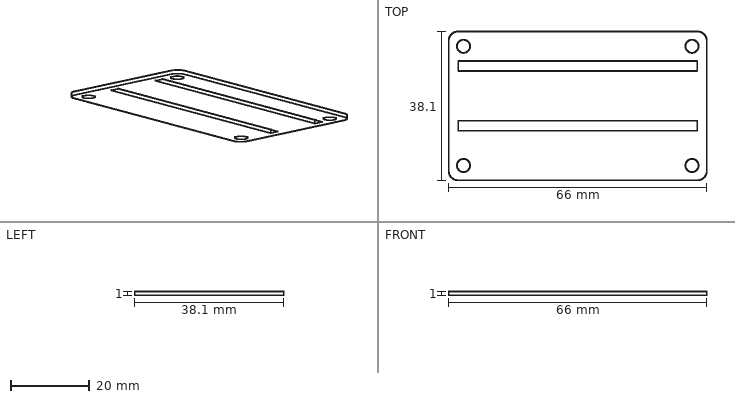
import cadquery as cq

length = 66.05
width = 38.1
thickness = 1.0
corner_radius = 2.5

hole_diameter = 3.3
hole_inset = 3.8

slot_end_margin = 2.5
slot_length = length - 2 * slot_end_margin
slot_width = 2.5
slot_centers_y = (10.2, -5.1)


def make_plate():
    plate = cq.Workplane("XY").box(length, width, thickness)
    return plate.edges("|Z").fillet(corner_radius)


def cut_corner_holes(body):
    spacing_x = length - 2 * hole_inset
    spacing_y = width - 2 * hole_inset
    return (
        body.faces(">Z").workplane(origin=(0, 0, 0))
        .rect(spacing_x, spacing_y, forConstruction=True)
        .vertices()
        .hole(hole_diameter)
    )


def cut_slots(body):
    for center_y in slot_centers_y:
        slot = cq.Workplane("XY").box(slot_length, slot_width, thickness)
        body = body.cut(slot.translate((0, center_y, 0)))
    return body


result = cut_slots(cut_corner_holes(make_plate()))